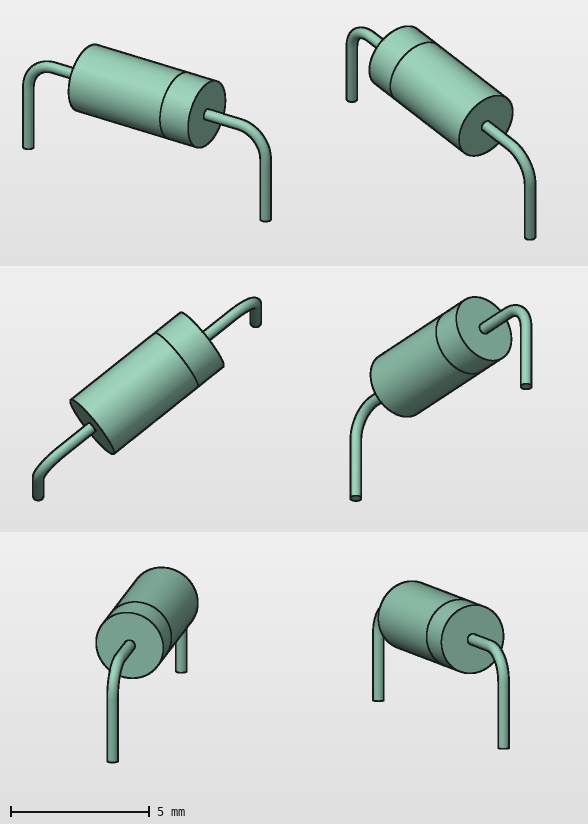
import cadquery as cq
import math

overall_length = 10.56
overall_height = 4.8
body_diameter = 2.5
body_length = 5.12
band_length = 1.2
wire_diameter = 0.4
bend_radius = 1.1

body_end = body_length / 2
band_start = body_end - band_length
leg_x = (overall_length - wire_diameter) / 2
leg_bottom = body_diameter / 2 - overall_height
bend_start = leg_x - bend_radius
bend_middle_x = bend_start + bend_radius * math.sin(math.pi / 4)
bend_middle_z = bend_radius * (math.cos(math.pi / 4) - 1)


def make_sleeve(start, end):
    """Cylinder along X with a bore that fits the wire."""
    return (
        cq.Workplane("YZ", origin=(start, 0, 0))
        .circle(body_diameter / 2)
        .circle(wire_diameter / 2)
        .extrude(end - start)
    )


def make_lead_wire():
    """One round wire through the body, bent down into a leg at each end."""
    path = (
        cq.Workplane("XZ")
        .moveTo(-leg_x, leg_bottom)
        .lineTo(-leg_x, -bend_radius)
        .threePointArc((-bend_middle_x, bend_middle_z), (-bend_start, 0))
        .lineTo(bend_start, 0)
        .threePointArc((bend_middle_x, bend_middle_z), (leg_x, -bend_radius))
        .lineTo(leg_x, leg_bottom)
    )
    return (
        cq.Workplane("XY", origin=(-leg_x, 0, leg_bottom))
        .circle(wire_diameter / 2)
        .sweep(path)
    )


housing = make_sleeve(-body_end, band_start)
polarity_band = make_sleeve(band_start, body_end)
lead_wire = make_lead_wire()

result = cq.Compound.makeCompound([housing.val(), polarity_band.val(), lead_wire.val()])